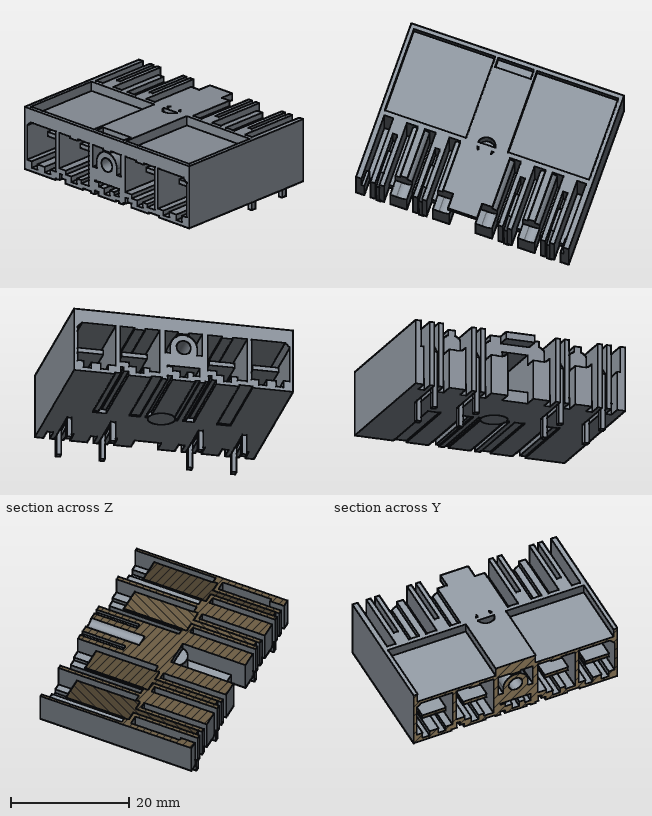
import cadquery as cq
import math


WIDTH = 38.1
DEPTH = 28.3
HEIGHT = 11.4
PITCH = 7.62
CONTACT_XS = [-2 * PITCH, -PITCH, PITCH, 2 * PITCH]
DIVIDER_XS = [-1.5 * PITCH, -0.5 * PITCH, 0.5 * PITCH, 1.5 * PITCH]

CAVITY_DEPTH = 15.0
FRONT_BLOCK_END = 16.6
REAR_ZONE_START = 25.65

CAVITY_TOP = 8.95
CAVITY_CHAMFER = 0.82
GROOVE_FLOOR = 0.7
RIB_TOP = 1.7
INNER_CAVITY_LEFT = 3.4
INNER_CAVITY_RIGHT = 3.45
OUTER_CAVITY_WALL_SIDE = 3.23
OUTER_CAVITY_INNER_SIDE = 3.42
OUTER_FLOOR_WALL_SIDE = 1.87
OUTER_FLOOR_INNER_SIDE = 1.57
STEP_FLOOR_LEFT = 2.42
STEP_FLOOR_RIGHT = 1.13
INNER_STEP_LEFT = 1.87
INNER_STEP_RIGHT = 1.74
INNER_GROOVE_LEFT = 0.62
INNER_GROOVE_RIGHT = 0.67
OUTER_GROOVE_NEAR = 0.84
OUTER_GROOVE_FAR = 2.15
KEY_WIDTH = 1.86
KEY_HEIGHT = 0.28

BOSS_RADIUS = 2.33
BOSS_Z = 6.17
BORE_RADIUS = 1.24
BORE_DEPTH = 10.0
WINDOW_HALF_WIDTH = 3.2
WINDOW_BOTTOM = 4.96
WINDOW_DEPTH = 8.0

SLOT_HALF_WIDTH = 2.8
SLOT_TOP = 2.58
GROOVE_HEIGHT = 0.28
KEYWAY_HEIGHT = 0.7
SLIT_HEIGHT = 1.43
SLIT_LEFT = 3.3
SLIT_RIGHT = 2.78
KEYWAY_RIGHT = 1.98
GROOVE_START = 2.05
LEFT_GROOVE_REACH = 4.31
RIGHT_GROOVE_REACH = 4.38
SHORT_GROOVE_REACH = 3.87

STUD_RADIUS = BOSS_RADIUS
STUD_HEIGHT = 4.5
STUD_Y = 16.02
TOP_HOLE_RADIUS = 1.57
TOP_HOLE_DEPTH = 3.0
BRIDGE_FRONT = 15.75
BRIDGE_THICKNESS = 0.8
BRIDGE_STEM_WIDTH = 2.3

RECESS_DEPTH = 1.7
RECESS_INNER_X = 3.75
RECESS_OUTER_X = 18.3
RECESS_FRONT = 0.8
RECESS_REAR = 15.77
BOSS_RECESS_REAR = 2.5

OUTER_WALL = 0.98
REAR_FLOOR = 2.0
CONTACT_BLOCK_WIDTH = 2.44
DIVIDER_WIDTH = 1.24
PILLAR_HALF_WIDTH = 1.5
BAR_RADIUS = 1.85
BAR_TOP_EDGE = HEIGHT - 0.97
BAR_Z = BAR_TOP_EDGE - math.sqrt(BAR_RADIUS**2 - (DIVIDER_WIDTH / 2) ** 2)
SADDLE_END_X = 0.42
TONGUE_WIDTH = 5.2
TONGUE_THICKNESS = 1.26

SHEET = 0.8
BLADE_WIDTH = 4.45
BLADE_Z = 5.66
BLADE_TIP_Y = 4.0
BLADE_END_Y = 15.8
PLATE_FRONT = DEPTH - 9.17
PLATE_REAR = DEPTH - 0.67
PLATE_STEP_Y = DEPTH - 6.77
PLATE_BOTTOM = 1.0
PLATE_TOP = 8.5
PLATE_CHAMFER = 2.13
LEG_WIDTH = 1.0
LEG_LENGTH = 3.5


def box(x0, x1, y0, y1, z0, z1):
    block = cq.Workplane("XY").box(x1 - x0, y1 - y0, z1 - z0, centered=False)
    return block.translate((x0, y0, z0))


def extrude_back(sketch, y0, y1):
    """Extrude an outline drawn in X and Z from y0 back to y1."""
    return sketch.extrude(y0 - y1).translate((0, y0, 0))


def prism(points, y0, y1):
    return extrude_back(cq.Workplane("XZ").polyline(points).close(), y0, y1)



def stepped_floor(left, right):
    """Floor of the inner cavities and the slot, from its left end to its right end."""
    return [
        (-left, STEP_FLOOR_LEFT),
        (-INNER_STEP_LEFT, STEP_FLOOR_LEFT),
        (-INNER_STEP_LEFT, RIB_TOP),
        (-INNER_GROOVE_LEFT, RIB_TOP),
        (-INNER_GROOVE_LEFT, GROOVE_FLOOR),
        (INNER_GROOVE_RIGHT, GROOVE_FLOOR),
        (INNER_GROOVE_RIGHT, RIB_TOP),
        (INNER_STEP_RIGHT, RIB_TOP),
        (INNER_STEP_RIGHT, STEP_FLOOR_RIGHT),
        (right, STEP_FLOOR_RIGHT),
    ]


def top_key():
    """Key rib that hangs from a cavity roof."""
    return box(-KEY_WIDTH / 2, KEY_WIDTH / 2, 0, CAVITY_DEPTH, CAVITY_TOP - KEY_HEIGHT, CAVITY_TOP)


def inner_cavity():
    roof = [(INNER_CAVITY_RIGHT, CAVITY_TOP), (-INNER_CAVITY_LEFT, CAVITY_TOP)]
    outline = stepped_floor(INNER_CAVITY_LEFT, INNER_CAVITY_RIGHT) + roof
    return prism(outline, 0, CAVITY_DEPTH).cut(top_key())


def outer_cavity():
    """Cavity of the leftmost pole, with a chamfered corner at the outer wall."""
    outline = [
        (-OUTER_CAVITY_WALL_SIDE, OUTER_FLOOR_WALL_SIDE),
        (-OUTER_GROOVE_FAR, OUTER_FLOOR_WALL_SIDE),
        (-OUTER_GROOVE_FAR, GROOVE_FLOOR),
        (-OUTER_GROOVE_NEAR, GROOVE_FLOOR),
        (-OUTER_GROOVE_NEAR, RIB_TOP),
        (OUTER_GROOVE_NEAR, RIB_TOP),
        (OUTER_GROOVE_NEAR, GROOVE_FLOOR),
        (OUTER_GROOVE_FAR, GROOVE_FLOOR),
        (OUTER_GROOVE_FAR, OUTER_FLOOR_INNER_SIDE),
        (OUTER_CAVITY_INNER_SIDE, OUTER_FLOOR_INNER_SIDE),
        (OUTER_CAVITY_INNER_SIDE, CAVITY_TOP),
        (-OUTER_CAVITY_WALL_SIDE + CAVITY_CHAMFER, CAVITY_TOP),
        (-OUTER_CAVITY_WALL_SIDE, CAVITY_TOP - CAVITY_CHAMFER),
    ]
    return prism(outline, 0, CAVITY_DEPTH)


def boss_window():
    """Opening that leaves the screw boss standing inside it."""
    half = WINDOW_HALF_WIDTH
    opening = box(-half, half, 0, WINDOW_DEPTH, WINDOW_BOTTOM, CAVITY_TOP).cut(top_key())
    boss = extrude_back(cq.Workplane("XZ").center(0, BOSS_Z).circle(BOSS_RADIUS), 0, WINDOW_DEPTH)
    foot = box(-BOSS_RADIUS, BOSS_RADIUS, 0, WINDOW_DEPTH, WINDOW_BOTTOM, BOSS_Z)
    return opening.cut(boss).cut(foot)


def boss_bore():
    return extrude_back(cq.Workplane("XZ").center(0, BOSS_Z).circle(BORE_RADIUS), 0, BORE_DEPTH)


def stud_slot():
    half = SLOT_HALF_WIDTH
    outline = stepped_floor(half, half) + [(half, SLOT_TOP), (-half, SLOT_TOP)]
    return prism(outline, 0, STUD_Y)


def underside_grooves():
    """Shallow grooves from the mating face back to the stud axis, as (left, right, height)."""
    sections = []
    for x, reach in ((-PITCH, LEFT_GROOVE_REACH), (PITCH, SHORT_GROOVE_REACH)):
        sections.append((x - reach, x - SLIT_LEFT, GROOVE_HEIGHT))
        sections.append((x - SLIT_LEFT, x - SLIT_RIGHT, SLIT_HEIGHT))
        sections.append((x - SLIT_RIGHT, x - KEYWAY_RIGHT, KEYWAY_HEIGHT))
    reaches = ((-PITCH, SHORT_GROOVE_REACH), (0, SLOT_HALF_WIDTH), (PITCH, RIGHT_GROOVE_REACH))
    for x, reach in reaches:
        sections.append((x + GROOVE_START, x + reach, GROOVE_HEIGHT))
    sections.append((-SLOT_HALF_WIDTH, -KEYWAY_RIGHT, KEYWAY_HEIGHT))
    grooves = cq.Workplane("XY")
    for left, right, height in sections:
        grooves = grooves.union(box(left, right, 0, STUD_Y, 0, height))
    return grooves


def top_recesses():
    floor = HEIGHT - RECESS_DEPTH
    side = box(RECESS_INNER_X, RECESS_OUTER_X, RECESS_FRONT, RECESS_REAR, floor, HEIGHT)
    half = WINDOW_HALF_WIDTH
    middle = box(-half, half, RECESS_FRONT, BOSS_RECESS_REAR, floor, HEIGHT)
    return side.union(side.mirror("YZ")).union(middle)


def top_hole():
    """Round hole above the stud, crossed by a T-shaped bridge that is flush with the top."""
    z0 = HEIGHT - TOP_HOLE_DEPTH
    hole = cq.Workplane("XY").center(0, STUD_Y).circle(TOP_HOLE_RADIUS).extrude(TOP_HOLE_DEPTH)
    hole = hole.translate((0, 0, z0))
    bridge_rear = BRIDGE_FRONT + BRIDGE_THICKNESS
    radius = TOP_HOLE_RADIUS
    crossbar = box(-radius, radius, BRIDGE_FRONT, bridge_rear, z0, HEIGHT)
    half_stem = BRIDGE_STEM_WIDTH / 2
    stem = box(-half_stem, half_stem, bridge_rear, STUD_Y + radius, z0, HEIGHT)
    return hole.cut(crossbar).cut(stem)



def divider():
    """Wall on a round-topped pillar, then a lower pillar with a saddle in the rear zone."""
    half = PILLAR_HALF_WIDTH
    half_wall = DIVIDER_WIDTH / 2
    shoulder = math.sqrt(BAR_RADIUS**2 - half**2)
    pillar = box(-half, half, FRONT_BLOCK_END, REAR_ZONE_START, 0, BAR_Z + shoulder)
    outline = (
        cq.Workplane("XZ")
        .moveTo(-half, BAR_Z + shoulder)
        .threePointArc((0, BAR_Z + BAR_RADIUS), (half, BAR_Z + shoulder))
        .close()
    )
    bar = extrude_back(outline, FRONT_BLOCK_END, REAR_ZONE_START)
    wall = box(-half_wall, half_wall, FRONT_BLOCK_END, REAR_ZONE_START, BAR_Z, HEIGHT)
    saddle_end_z = BAR_Z - math.sqrt(BAR_RADIUS**2 - SADDLE_END_X**2)
    outline = (
        cq.Workplane("XZ")
        .moveTo(-half, 0)
        .lineTo(-half, BAR_Z - shoulder)
        .threePointArc((0, BAR_Z - BAR_RADIUS), (SADDLE_END_X, saddle_end_z))
        .lineTo(half, saddle_end_z)
        .lineTo(half, 0)
        .close()
    )
    saddle = extrude_back(outline, REAR_ZONE_START, DEPTH)
    return pillar.union(bar).union(wall).union(saddle)


def side_wall():
    """Right-hand outer wall with the low ledge beside it in the rear zone."""
    outside = WIDTH / 2
    wall = box(outside - OUTER_WALL, outside, FRONT_BLOCK_END, DEPTH, 0, HEIGHT)
    ledge_top = BAR_Z - BAR_RADIUS
    return wall.union(box(outside - PILLAR_HALF_WIDTH, outside, REAR_ZONE_START, DEPTH, 0, ledge_top))


def middle_roof():
    """Block between the two middle dividers, with the tongue behind it."""
    half = PITCH / 2 + DIVIDER_WIDTH / 2
    block = box(-half, half, FRONT_BLOCK_END, REAR_ZONE_START, BAR_Z, HEIGHT)
    half_tongue = TONGUE_WIDTH / 2
    tongue = box(-half_tongue, half_tongue, REAR_ZONE_START, DEPTH, HEIGHT - TONGUE_THICKNESS, HEIGHT)
    return block.union(tongue)


def contact_slit():
    """Slit open at the rear, top and bottom that takes a contact plate."""
    return box(-SHEET / 2, SHEET / 2, PLATE_FRONT, DEPTH, 0, HEIGHT)



def make_contact():
    """Flat blade at the front of an upright plate that stands on two solder legs."""
    half_sheet = SHEET / 2
    blade_bottom = BLADE_Z - half_sheet
    blade_top = BLADE_Z + half_sheet
    blade = box(-BLADE_WIDTH / 2, BLADE_WIDTH / 2, BLADE_TIP_Y, BLADE_END_Y, blade_bottom, blade_top)
    side_outline = [
        (BLADE_END_Y, blade_bottom),
        (PLATE_FRONT, blade_bottom),
        (PLATE_FRONT, -LEG_LENGTH),
        (PLATE_FRONT + LEG_WIDTH, -LEG_LENGTH),
        (PLATE_FRONT + LEG_WIDTH, PLATE_BOTTOM),
        (PLATE_REAR - LEG_WIDTH, PLATE_BOTTOM),
        (PLATE_REAR - LEG_WIDTH, -LEG_LENGTH),
        (PLATE_REAR, -LEG_LENGTH),
        (PLATE_REAR, PLATE_TOP - PLATE_CHAMFER),
        (PLATE_REAR - PLATE_CHAMFER, PLATE_TOP),
        (PLATE_STEP_Y, PLATE_TOP),
        (PLATE_STEP_Y, blade_top),
        (BLADE_END_Y, blade_top),
    ]
    plate = cq.Workplane("YZ").polyline(side_outline).close().extrude(half_sheet, both=True)
    return blade.union(plate)


def make_stud():
    return cq.Workplane("XY").center(0, STUD_Y).circle(STUD_RADIUS).extrude(STUD_HEIGHT)


def make_housing():
    half = WIDTH / 2
    body = box(-half, half, 0, FRONT_BLOCK_END, 0, HEIGHT)
    body = body.union(box(-half, half, FRONT_BLOCK_END, REAR_ZONE_START, 0, REAR_FLOOR))
    body = body.union(side_wall()).union(side_wall().mirror("YZ")).union(middle_roof())
    for x in DIVIDER_XS:
        body = body.union(divider().translate((x, 0, 0)))
    half_block = CONTACT_BLOCK_WIDTH / 2
    for x in CONTACT_XS:
        body = body.union(box(x - half_block, x + half_block, FRONT_BLOCK_END, DEPTH, 0, HEIGHT))

    body = body.cut(outer_cavity().translate((CONTACT_XS[0], 0, 0)))
    body = body.cut(outer_cavity().mirror("YZ").translate((CONTACT_XS[-1], 0, 0)))
    for x in (-PITCH, PITCH):
        body = body.cut(inner_cavity().translate((x, 0, 0)))
    openings = [boss_window(), boss_bore(), stud_slot(), underside_grooves(), top_recesses(), top_hole()]
    for feature in openings:
        body = body.cut(feature)
    return body


housing = make_housing()
stud = make_stud()
housing = housing.cut(stud)

contacts = []
for contact_x in CONTACT_XS:
    contact = make_contact().translate((contact_x, 0, 0))
    housing = housing.cut(contact_slit().translate((contact_x, 0, 0))).cut(contact)
    contacts.append(contact.solids().val())

result = cq.Compound.makeCompound([housing.solids().val(), stud.val(), *contacts])